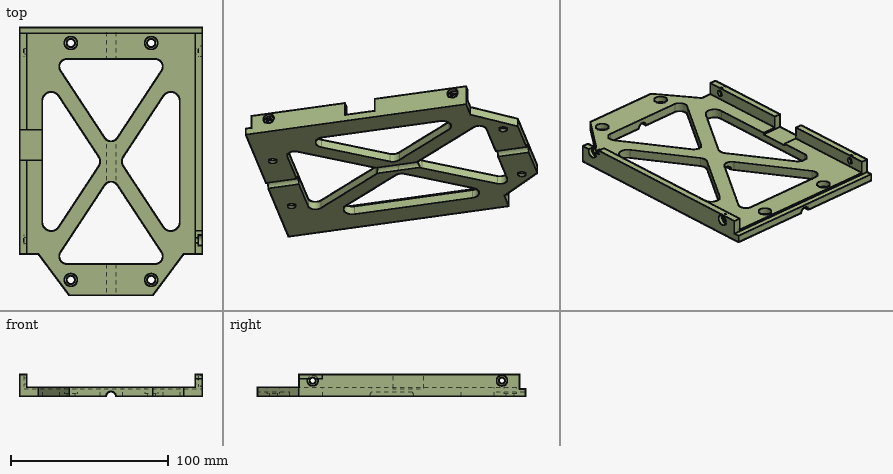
import cadquery as cq
import math

width = 116.0
length = 170.0
height = 14.0
plate_thickness = 6.0
ledge_height = 4.8
ledge_depth = 3.7
tongue_shoulder_half = 46.0
tongue_tip_half = 26.5

wall_thickness = 4.6
wall_front_y = -58.8
wall_back_y = length / 2 - ledge_depth
wall_hole_ys = (70.0, -50.0)
wall_hole_z = 10.0
wall_hole_diameter = 3.7
wall_bore_diameter = 6.8
wall_bore_depth = 2.7

notch_front_y = 0.8
notch_back_y = 20.2
step_height = 11.2
step_back_y = -44.0

strut_slope = 1.52
strut_half_width = 5.0
window_half_width = 43.5
window_half_length = 65.0
end_window_radius = 4.8
side_window_radius = 5.6

screw_x = 25.5
screw_y = 75.1
screw_diameter = 5.1
screw_bore_diameter = 8.2
screw_bore_depth = 3.9
groove_radius = 3.0


def box(x0, x1, y0, y1, z0, z1):
    """Box given by its limits along each axis."""
    return cq.Workplane("XY").box(x1 - x0, y1 - y0, z1 - z0, centered=False).translate((x0, y0, z0))


def make_plate():
    """Plate with a tapered front tongue and a thinner ledge along the back."""
    half_x = width / 2
    half_y = length / 2
    plate = (
        cq.Workplane("XY")
        .polyline([
            (-half_x, half_y),
            (half_x, half_y),
            (half_x, wall_front_y),
            (tongue_shoulder_half, wall_front_y),
            (tongue_tip_half, -half_y),
            (-tongue_tip_half, -half_y),
            (-tongue_shoulder_half, wall_front_y),
            (-half_x, wall_front_y),
        ])
        .close()
        .extrude(plate_thickness)
    )
    return plate.cut(box(-half_x, half_x, wall_back_y, half_y, ledge_height, height))


def make_wall(side):
    """Upright wall on the left (side = -1) or right (side = 1) edge."""
    outer_x = side * width / 2
    inner_x = outer_x - side * wall_thickness
    return box(min(outer_x, inner_x), max(outer_x, inner_x), wall_front_y, wall_back_y, 0, height)


def make_wall_holes(side):
    """Cross holes counterbored from the outer face of one wall."""
    outer_x = side * width / 2
    inward = cq.Vector(-side, 0, 0)
    cutters = cq.Workplane("XY")
    for y in wall_hole_ys:
        start = cq.Vector(outer_x, y, wall_hole_z)
        cutters = cutters.add(cq.Solid.makeCylinder(wall_hole_diameter / 2, wall_thickness, start, inward))
        cutters = cutters.add(cq.Solid.makeCylinder(wall_bore_diameter / 2, wall_bore_depth, start, inward))
    return cutters.combine()


def make_window(corners, radius):
    """Triangular through-cutter with rounded corners."""
    return cq.Workplane("XY").polyline(corners).close().extrude(plate_thickness).edges("|Z").fillet(radius)


def make_windows():
    """Front, back, left and right windows bounded by two crossing struts."""
    strut_angle = math.atan(strut_slope)
    apex_y = strut_half_width / math.cos(strut_angle)
    apex_x = strut_half_width / math.sin(strut_angle)
    base_x = (window_half_length - apex_y) / strut_slope
    base_y = (window_half_width - apex_x) * strut_slope
    end_window = make_window([
        (0, apex_y),
        (base_x, window_half_length),
        (-base_x, window_half_length),
    ], end_window_radius)
    side_window = make_window([
        (apex_x, 0),
        (window_half_width, -base_y),
        (window_half_width, base_y),
    ], side_window_radius)
    windows = end_window.union(end_window.mirror("XZ"))
    return windows.union(side_window).union(side_window.mirror("YZ"))


result = make_plate()
for wall_side in (-1, 1):
    result = result.union(make_wall(wall_side))
    result = result.cut(make_wall_holes(wall_side))

result = result.cut(make_windows())

result = result.cut(box(-width / 2, -window_half_width, notch_front_y, notch_back_y, ledge_height, height))

right_wall_inner_x = width / 2 - wall_thickness
result = result.cut(box(right_wall_inner_x, width / 2, wall_front_y, step_back_y, step_height, height))

result = (
    result.copyWorkplane(cq.Workplane("XY", origin=(0, 0, plate_thickness)))
    .rect(2 * screw_x, 2 * screw_y, forConstruction=True)
    .vertices()
    .cboreHole(screw_diameter, screw_bore_diameter, screw_bore_depth)
)

groove = cq.Workplane("XZ").circle(groove_radius).extrude(length / 2, both=True)
result = result.cut(groove)